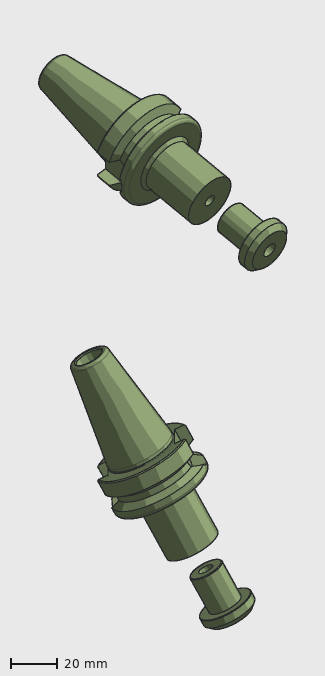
import cadquery as cq
import math


gauge_diameter = 31.8
taper_length = 48.5
tip_diameter = 18.4
tip_rounding = 1.5
taper_root_fillet = 0.4

flange_start = 50.4
flange_end = 70.7
flange_diameter = 45.9
flange_front_chamfer = 0.5
flange_back_rounding = 1.6
groove_floor_diameter = 38.1
groove_floor_start = 60.5
groove_floor_end = 63.7
groove_wall_angle = 30

slot_width = 16.2
slot_floor_offset = 16.3
slot_end = 67.8

nose_diameter = 25.3
nose_end = 99.2
nose_root_chamfer = 1.6

bore_diameter = 12.6
bore_depth = 6.0
bore_chamfer = 0.5
inner_bore_diameter = 10.1
inner_bore_depth = 24.0
passage_diameter = 5.5

plug_start = 112.0
plug_end = 137.0
plug_shank_diameter = 15.9
plug_shank_chamfer = 0.4
plug_head_start = 130.5
plug_head_diameter = nose_diameter
plug_head_front_chamfer = 0.3
plug_head_back_chamfer = 2.5
plug_hole_diameter = 6.8


def cylinder(diameter, start, end):
    """Cylinder on the X axis between two stations."""
    return cq.Workplane("YZ", origin=(start, 0, 0)).circle(diameter / 2).extrude(end - start)


def revolve_profile(points):
    """Solid of revolution about X from (station, radius) points."""
    return cq.Workplane("XY").polyline(points).close().revolve(360, (0, 0), (1, 0))


def make_taper():
    """Taper with a rounded tip and a concave fillet at the flange face."""
    gauge_radius = gauge_diameter / 2
    tip_radius = tip_diameter / 2
    arc_offset = taper_root_fillet * (1 - math.sqrt(0.5))
    profile = (
        cq.Workplane("XY")
        .lineTo(0, tip_radius)
        .lineTo(taper_length, gauge_radius)
        .lineTo(flange_start - taper_root_fillet, gauge_radius)
        .threePointArc(
            (flange_start - arc_offset, gauge_radius + arc_offset),
            (flange_start, gauge_radius + taper_root_fillet),
        )
        .lineTo(flange_start, 0)
        .close()
    )
    taper = profile.revolve(360, (0, 0), (1, 0))
    return taper.faces("<X").edges().fillet(tip_rounding)


def make_gripper_groove():
    floor_radius = groove_floor_diameter / 2
    rim_radius = flange_diameter / 2
    wall_run = (rim_radius - floor_radius) * math.tan(math.radians(groove_wall_angle))
    return revolve_profile([
        (groove_floor_start, floor_radius),
        (groove_floor_start - wall_run, rim_radius),
        (groove_floor_end + wall_run, rim_radius),
        (groove_floor_end, floor_radius),
    ])


def make_flange():
    flange = cylinder(flange_diameter, flange_start, flange_end)
    flange = flange.faces("<X").edges().chamfer(flange_front_chamfer)
    flange = flange.faces(">X").edges().fillet(flange_back_rounding)
    return flange.cut(make_gripper_groove())


def make_drive_slot(side):
    """Round-ended slot cutter on the +Y (side = 1) or -Y (side = -1) flank."""
    end_radius = slot_width / 2
    arc_start = slot_end - end_radius
    depth = flange_diameter / 2 - slot_floor_offset
    outline = (
        cq.Workplane("XZ", origin=(0, side * slot_floor_offset, 0))
        .moveTo(flange_start, -end_radius)
        .lineTo(arc_start, -end_radius)
        .threePointArc((slot_end, 0), (arc_start, end_radius))
        .lineTo(flange_start, end_radius)
        .close()
    )
    return outline.extrude(-side * depth)


def make_nose():
    """Nose cylinder with a conical shoulder at the flange face."""
    radius = nose_diameter / 2
    return revolve_profile([
        (flange_end, 0),
        (flange_end, radius + nose_root_chamfer),
        (flange_end + nose_root_chamfer, radius),
        (nose_end, radius),
        (nose_end, 0),
    ])


def make_bore():
    bore = cylinder(bore_diameter, 0, bore_depth)
    mouth_radius = bore_diameter / 2 + bore_chamfer
    mouth = revolve_profile([(0, 0), (0, mouth_radius), (mouth_radius, 0)])
    inner_bore = cylinder(inner_bore_diameter, 0, inner_bore_depth)
    passage = cylinder(passage_diameter, 0, nose_end)
    return bore.union(mouth).union(inner_bore).union(passage)


def make_holder():
    holder = make_taper().union(make_flange()).union(make_nose())
    for side in (1, -1):
        holder = holder.cut(make_drive_slot(side))
    return holder.cut(make_bore())


def make_plug():
    shank = cylinder(plug_shank_diameter, plug_start, plug_head_start)
    shank = shank.faces("<X").edges().chamfer(plug_shank_chamfer)
    head = cylinder(plug_head_diameter, plug_head_start, plug_end)
    head = head.faces("<X").edges().chamfer(plug_head_front_chamfer)
    head = head.faces(">X").edges().chamfer(plug_head_back_chamfer)
    hole = cylinder(plug_hole_diameter, plug_start, plug_end)
    return shank.union(head).cut(hole)


holder = make_holder()
plug = make_plug()

result = cq.Compound.makeCompound([holder.val(), plug.val()])